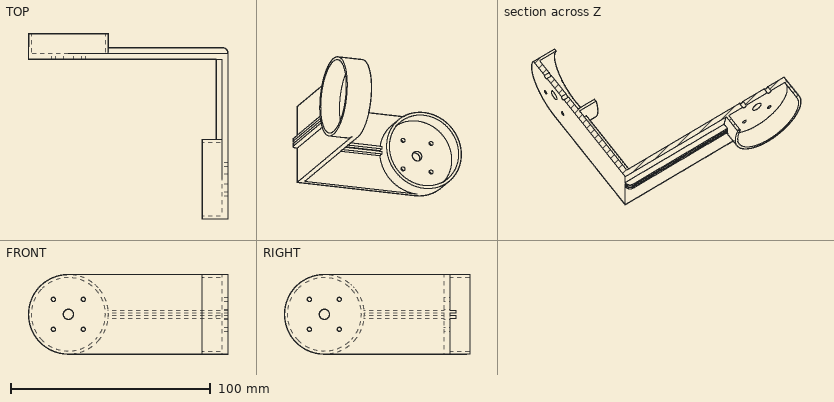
import cadquery as cq

length_x = 100.0
length_y = 93.0
width = 40.0
wall = 3.0
cup_depth = 13.0
cup_wall = 1.5
shaft_hole = 5.0
screw_hole = 2.0
screw_pitch = 15.0
rib_width = 4.0
rib_height = 3.0
groove_width = rib_width / 3
rib_end_radius = 2.9

cup_radius = width / 2
long_wall_inside = length_y - cup_depth
long_wall_outside = long_wall_inside + wall

long_frame = cq.Plane(origin=(cup_radius, long_wall_inside, 0), xDir=(1, 0, 0), normal=(0, 1, 0))
short_frame = cq.Plane(origin=(length_x, cup_radius, 0), xDir=(0, 1, 0), normal=(-1, 0, 0))


def wall_and_cup(frame, reach):
    """Flat wall of the given reach from the cup centre, with an open round cup at its end."""
    plate = cq.Workplane(frame).rect(reach, width).extrude(wall).translate(frame.xDir * (reach / 2))
    cup = cq.Workplane(frame).circle(cup_radius).extrude(cup_depth)
    pocket = (
        cq.Workplane(frame).workplane(offset=wall)
        .circle(cup_radius - cup_wall).extrude(cup_depth - wall)
    )
    return plate.union(cup).cut(pocket)


def grooved_rib(frame, reach):
    """Pair of rails standing on the wall, from within the cup rim to the given reach."""
    start = cup_radius - cup_wall / 2
    base = cq.Workplane(frame).workplane(offset=wall).center((start + reach) / 2, 0)
    rib = base.rect(reach - start, rib_width).extrude(rib_height)
    groove = base.rect(reach - start, groove_width).extrude(rib_height)
    return rib.cut(groove)


def mounting_holes(frame):
    """Shaft hole and four screw holes through the cup floor."""
    shaft = cq.Workplane(frame).circle(shaft_hole / 2).extrude(wall)
    screws = (
        cq.Workplane(frame).rect(screw_pitch, screw_pitch, forConstruction=True)
        .vertices().circle(screw_hole / 2).extrude(wall)
    )
    return shaft.union(screws)


long_reach = length_x - cup_radius
short_reach = long_wall_outside - cup_radius

long_rib = grooved_rib(long_frame, long_reach).edges("|Z and >X and >Y").fillet(rib_end_radius)
short_rib = grooved_rib(short_frame, long_wall_inside - cup_radius)

result = wall_and_cup(long_frame, long_reach).union(wall_and_cup(short_frame, short_reach))
result = result.union(long_rib).union(short_rib)
result = result.cut(mounting_holes(long_frame)).cut(mounting_holes(short_frame))